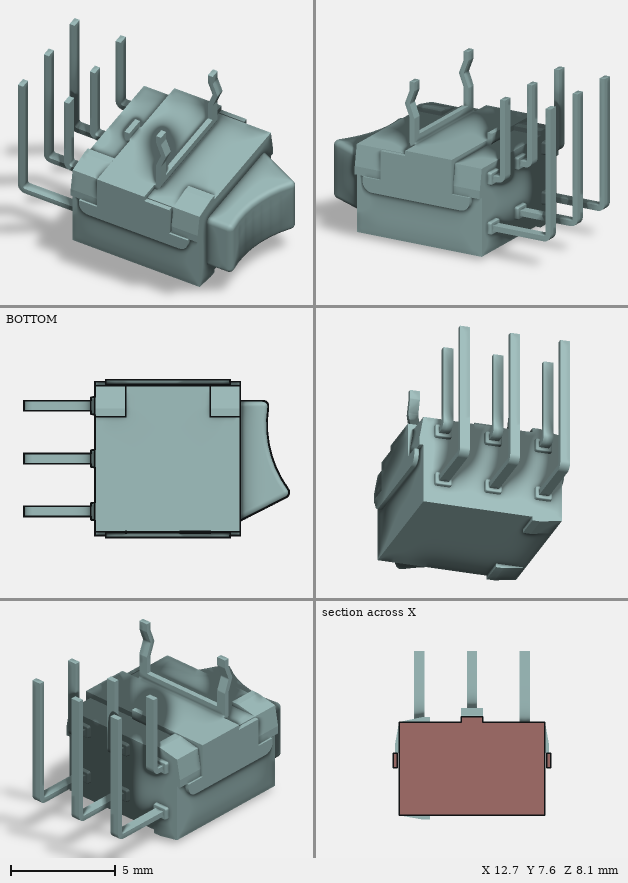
import cadquery as cq

TOP_Z = 8.1
WIDTH = 7.6

HOUSING_REAR = 3.42
HOUSING_LENGTH = 6.99
HOUSING_FRONT = HOUSING_REAR + HOUSING_LENGTH
HOUSING_HALF_WIDTH = 3.5
HOUSING_BOTTOM = 0.19
HOUSING_TOP = 4.68

REAR_BAND_LENGTH = 1.48
FRONT_BAND_LENGTH = 1.44
BAND_RAISE = 0.23
BAND_RIDGE_INNER_Y = -2.01
BAND_RIDGE_OUTER_Y = -2.41
BAND_HALF_WIDTH = 3.7
BAND_SIDE_BOTTOM = 3.19
BAND_SIDE_BEND = 3.61

METAL = 0.27
STRAP_REAR = 4.92
STRAP_FRONT = 7.52
COVER_TOP = HOUSING_TOP + METAL
SIDE_PLATE_THICKNESS = 0.23
SIDE_PLATE_REAR = 3.93
SIDE_PLATE_FRONT = 9.91
SIDE_PLATE_BOTTOM = 2.46
SIDE_PLATE_CORNER = 0.51
SIDE_TAB_FRONT = 8.9
LIP_TOP = 5.34
REAR_TAB_WIDTH = 1.05
REAR_TAB_BEND = 0.05
FRONT_BAR_BEND = 0.09

KINK_OFFSET = METAL
KINK_BOTTOM = 6.25
KINK_MIDDLE = 6.95
KINK_TOP = 7.65
KINK_ROUND = 0.13

PITCH = 2.54
PIN_WIDTH = 0.5
PIN_THICKNESS = 0.28
PIN_BEND = 0.11
PIN_ROWS = 2
PIN_COLUMNS = 3
LOWER_PIN_Z = 1.45
PIN_EMBED = 0.25

COLLAR_WIDTH = 0.87
COLLAR_HEIGHT = 0.68
COLLAR_LENGTH = 0.19
COLLAR_CORNER = 0.11
COLLAR_DRAFT = 8.0
COLLAR_EDGE_ROUND = 0.05

ROCKER_HEIGHT = 3.0
ROCKER_MID_Z = 2.45
ROCKER_ROOT_X = 9.56
ROCKER_HIGH_SIDE_Y = 2.98
ROCKER_SLOPE = 0.51
ROCKER_LOW_SIDE_Y = -2.78
ROCKER_LOW_TIP_X = 11.81
ROCKER_HIGH_TIP_X = 12.89
ROCKER_DISH_RADIUS = 5.35
ROCKER_ROUND = 0.27


def box(x0, x1, y0, y1, z0, z1):
    return cq.Workplane("XY").box(x1 - x0, y1 - y0, z1 - z0, centered=False).translate((x0, y0, z0))


def extrude_across(profile, y_middle, width):
    """Extrude a closed XZ profile symmetrically about y_middle."""
    return profile.extrude(width / 2, both=True).translate((0, y_middle, 0))


def housing_core():
    return box(HOUSING_REAR, HOUSING_FRONT, -HOUSING_HALF_WIDTH, HOUSING_HALF_WIDTH,
               HOUSING_BOTTOM, HOUSING_TOP)


def end_band(x_start, length):
    """Housing cross-section with flared sides and a ridge above and below on the -Y side."""
    outline = [
        (BAND_RIDGE_INNER_Y, 0),
        (BAND_RIDGE_OUTER_Y, 0),
        (-HOUSING_HALF_WIDTH, HOUSING_BOTTOM),
        (-HOUSING_HALF_WIDTH, BAND_SIDE_BOTTOM),
        (-BAND_HALF_WIDTH, BAND_SIDE_BOTTOM),
        (-BAND_HALF_WIDTH, BAND_SIDE_BEND),
        (-HOUSING_HALF_WIDTH, HOUSING_TOP),
        (BAND_RIDGE_OUTER_Y, HOUSING_TOP + BAND_RAISE),
        (BAND_RIDGE_INNER_Y, HOUSING_TOP + BAND_RAISE),
        (BAND_RIDGE_INNER_Y, HOUSING_TOP),
        (HOUSING_HALF_WIDTH, HOUSING_TOP),
        (BAND_HALF_WIDTH, BAND_SIDE_BEND),
        (BAND_HALF_WIDTH, BAND_SIDE_BOTTOM),
        (HOUSING_HALF_WIDTH, BAND_SIDE_BOTTOM),
        (HOUSING_HALF_WIDTH, HOUSING_BOTTOM),
        (BAND_RIDGE_INNER_Y, HOUSING_BOTTOM),
    ]
    return cq.Workplane("YZ", origin=(x_start, 0, 0)).polyline(outline).close().extrude(length)


def side_plate(side):
    """Plate hanging down beside the housing, on the side given by +1 or -1."""
    rear = SIDE_PLATE_REAR
    front = SIDE_PLATE_FRONT
    bottom = SIDE_PLATE_BOTTOM
    corner = SIDE_PLATE_CORNER
    profile = (
        cq.Workplane("XZ")
        .moveTo(STRAP_REAR, COVER_TOP)
        .lineTo(STRAP_REAR, BAND_SIDE_BOTTOM)
        .lineTo(rear, BAND_SIDE_BOTTOM)
        .lineTo(rear, bottom + corner)
        .radiusArc((rear + corner, bottom), -corner)
        .lineTo(front - corner, bottom)
        .radiusArc((front, bottom + corner), -corner)
        .lineTo(front, BAND_SIDE_BOTTOM)
        .lineTo(SIDE_TAB_FRONT, BAND_SIDE_BOTTOM)
        .lineTo(SIDE_TAB_FRONT, HOUSING_TOP)
        .lineTo(STRAP_FRONT, HOUSING_TOP)
        .lineTo(STRAP_FRONT, COVER_TOP)
        .close()
    )
    return extrude_across(profile, side * (WIDTH - SIDE_PLATE_THICKNESS) / 2, SIDE_PLATE_THICKNESS)


def bent_lip(strap_edge, direction, bend, width):
    """Lip that turns up from the strap edge; direction is +1 toward +X, -1 toward -X."""
    inner_x = strap_edge + direction * bend
    outer_x = inner_x + direction * METAL
    bend_z = COVER_TOP + bend
    profile = (
        cq.Workplane("XZ")
        .moveTo(strap_edge - direction * METAL, HOUSING_TOP)
        .lineTo(strap_edge, HOUSING_TOP)
        .radiusArc((outer_x, bend_z), -direction * (bend + METAL))
        .lineTo(outer_x, LIP_TOP)
        .lineTo(inner_x, LIP_TOP)
        .lineTo(inner_x, bend_z)
        .radiusArc((strap_edge, COVER_TOP), direction * bend)
        .lineTo(strap_edge - direction * METAL, COVER_TOP)
        .close()
    )
    return extrude_across(profile, 0, width)


def bracket_leg(y_middle):
    """Kinked solder leg rising from the front bar."""
    rear_x = STRAP_FRONT + FRONT_BAR_BEND
    path = [
        (rear_x, LIP_TOP - METAL),
        (rear_x, KINK_BOTTOM),
        (rear_x + KINK_OFFSET, KINK_MIDDLE),
        (rear_x, KINK_TOP),
        (rear_x, TOP_Z),
    ]
    opposite = [(x + METAL, z) for x, z in reversed(path)]
    leg = extrude_across(cq.Workplane("XZ").polyline(path + opposite).close(), y_middle, PIN_WIDTH)
    kinks = cq.selectors.BoxSelector((0, -WIDTH, LIP_TOP), (HOUSING_FRONT, WIDTH, KINK_TOP + KINK_ROUND))
    return leg.edges("|Y").edges(kinks).fillet(KINK_ROUND)


def metal_cover():
    half_width = WIDTH / 2
    cover = box(STRAP_REAR, STRAP_FRONT, -half_width, half_width, HOUSING_TOP, COVER_TOP)
    for side in (-1, 1):
        cover = cover.union(side_plate(side))
        cover = cover.union(bracket_leg(side * PITCH))
    cover = cover.union(bent_lip(STRAP_REAR, -1, REAR_TAB_BEND, REAR_TAB_WIDTH))
    return cover.union(bent_lip(STRAP_FRONT, 1, FRONT_BAR_BEND, 2 * PITCH + PIN_WIDTH))


def pin(x_outer, y_middle, z_middle):
    """Pin that leaves the housing toward -X and turns up to the common top height."""
    x_end = HOUSING_REAR + PIN_EMBED
    z_low = z_middle - PIN_THICKNESS / 2
    outer_bend = PIN_BEND + PIN_THICKNESS
    x_inner = x_outer + PIN_THICKNESS
    z_high = z_low + PIN_THICKNESS
    profile = (
        cq.Workplane("XZ")
        .moveTo(x_outer, TOP_Z)
        .lineTo(x_outer, z_low + outer_bend)
        .radiusArc((x_outer + outer_bend, z_low), -outer_bend)
        .lineTo(x_end, z_low)
        .lineTo(x_end, z_high)
        .lineTo(x_inner + PIN_BEND, z_high)
        .radiusArc((x_inner, z_high + PIN_BEND), PIN_BEND)
        .lineTo(x_inner, TOP_Z)
        .close()
    )
    return extrude_across(profile, y_middle, PIN_WIDTH)


def collar(y_middle, z_middle):
    """Drafted collar with rounded corners where a pin leaves the housing."""
    outline = cq.Sketch().rect(COLLAR_WIDTH, COLLAR_HEIGHT).vertices().fillet(COLLAR_CORNER)
    return (
        cq.Workplane("YZ", origin=(HOUSING_REAR, y_middle, z_middle))
        .placeSketch(outline)
        .extrude(-COLLAR_LENGTH, taper=COLLAR_DRAFT)
        .faces("<X")
        .edges()
        .fillet(COLLAR_EDGE_ROUND)
    )


def rocker():
    """Rocker button with a sloping side and a dished actuating face, rounded all over."""
    def slope_y(x):
        return ROCKER_HIGH_SIDE_Y - ROCKER_SLOPE * (x - HOUSING_FRONT)

    low_tip = (ROCKER_LOW_TIP_X, ROCKER_LOW_SIDE_Y)
    high_tip = (ROCKER_HIGH_TIP_X, slope_y(ROCKER_HIGH_TIP_X))
    return (
        cq.Workplane("XY", origin=(0, 0, ROCKER_MID_Z))
        .moveTo(ROCKER_ROOT_X, ROCKER_LOW_SIDE_Y)
        .lineTo(*low_tip)
        .radiusArc(high_tip, ROCKER_DISH_RADIUS)
        .lineTo(ROCKER_ROOT_X, slope_y(ROCKER_ROOT_X))
        .close()
        .extrude(ROCKER_HEIGHT / 2, both=True)
        .edges("not <X")
        .fillet(ROCKER_ROUND)
    )


result = housing_core()
result = result.union(end_band(HOUSING_REAR, REAR_BAND_LENGTH))
result = result.union(end_band(HOUSING_FRONT - FRONT_BAND_LENGTH, FRONT_BAND_LENGTH))
result = result.union(metal_cover())
result = result.union(rocker())

for row in range(PIN_ROWS):
    for column in range(PIN_COLUMNS):
        pin_y = (column - (PIN_COLUMNS - 1) / 2) * PITCH
        pin_z = LOWER_PIN_Z + row * PITCH
        result = result.union(pin(row * PITCH, pin_y, pin_z))
        result = result.union(collar(pin_y, pin_z))